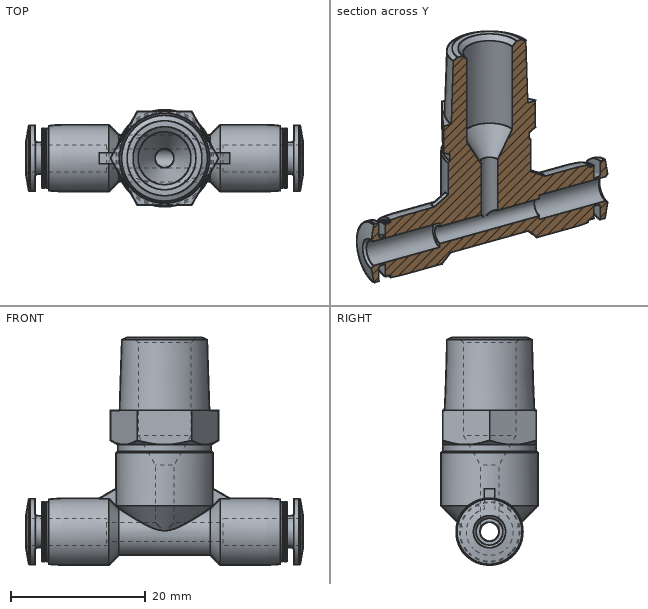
import cadquery as cq
import math


END_X = 20.695
FLANGE_FACE_EDGE_X = 20.27
FLANGE_RIM_X = 20.05
FLANGE_BACK_X = 19.3
RING_OUTER_X = 18.3
RING_GROOVE_X = 17.95
RING_GROOVE_WIDTH = 0.25
RING_CHAMFER = 0.12
SOCKET_FACE_X = 17.3
SOCKET_ROUND_X = 15.3
SOCKET_SHOULDER_X = 8.3
SOCKET_RADIUS = 10 / 2
SOCKET_FACE_RADIUS = 4.85
TUBE_RADIUS = 3.5
SHOULDER_LENGTH = SOCKET_RADIUS - TUBE_RADIUS
FLANGE_RADIUS = 9.9 / 2
FLANGE_EDGE_RADIUS = 4.85
RING_RADIUS = 9 / 2
SLEEVE_RADIUS = 4.8 / 2
SLEEVE_FILLET = 0.35

FLOW_RADIUS = 2.8 / 2
INLET_RADIUS = 4 / 2
INLET_MOUTH_RADIUS = 4.8 / 2
INLET_DEPTH = 12.0
BRANCH_BORE_RADIUS = 7.89 / 2
BRANCH_MOUTH_RADIUS = 4.7
BORE_FLOOR_Z = 10.0
BORE_FLOOR_ANGLE = 60

TOP_Z = 29.0
HEX_TOP_Z = 18.1
HEX_BOTTOM_Z = 13.0
BODY_TOP_Z = 12.0
BODY_BOTTOM_Z = 3.9
BODY_RADIUS = 14.5 / 2
COLLAR_RADIUS = 14 / 2
HEX_SIDES = 6
HEX_ACROSS_FLATS = 14.0
HEX_CHAMFER_ANGLE = 30
THREAD_TOP_RADIUS = 12.78 / 2
THREAD_TAPER = 1 / 16
THREAD_CHAMFER_RADIAL = 0.8
THREAD_CHAMFER_HEIGHT = 0.4

RIB_WIDTH = 1.6
RIB_TOP_Z = 6.4
RIB_FOOT_X = 9.7
RIB_ANGLE = 30


def make_run_half():
    """Half of the run, from the branch axis to the end of one release sleeve."""
    ring_step_radius = RING_RADIUS - RING_CHAMFER
    groove_inner_x = RING_GROOVE_X - RING_GROOVE_WIDTH
    shoulder_inner_x = SOCKET_SHOULDER_X - SHOULDER_LENGTH
    return (
        cq.Workplane("XY")
        .moveTo(0, 0)
        .lineTo(0, TUBE_RADIUS)
        .lineTo(shoulder_inner_x, TUBE_RADIUS)
        .lineTo(SOCKET_SHOULDER_X, SOCKET_RADIUS)
        .lineTo(SOCKET_ROUND_X, SOCKET_RADIUS)
        .tangentArcPoint((SOCKET_FACE_X, SOCKET_FACE_RADIUS), relative=False)
        .lineTo(SOCKET_FACE_X, RING_RADIUS)
        .lineTo(groove_inner_x - RING_CHAMFER, RING_RADIUS)
        .lineTo(groove_inner_x, ring_step_radius)
        .lineTo(RING_GROOVE_X, ring_step_radius)
        .lineTo(RING_GROOVE_X, RING_RADIUS)
        .lineTo(RING_OUTER_X - RING_CHAMFER, RING_RADIUS)
        .lineTo(RING_OUTER_X, ring_step_radius)
        .lineTo(RING_OUTER_X, SLEEVE_RADIUS)
        .lineTo(FLANGE_BACK_X - SLEEVE_FILLET, SLEEVE_RADIUS)
        .tangentArcPoint((FLANGE_BACK_X, SLEEVE_RADIUS + SLEEVE_FILLET), relative=False)
        .lineTo(FLANGE_BACK_X, FLANGE_RADIUS)
        .lineTo(FLANGE_RIM_X, FLANGE_RADIUS)
        .lineTo(FLANGE_FACE_EDGE_X, FLANGE_EDGE_RADIUS)
        .lineTo(END_X, INLET_MOUTH_RADIUS)
        .lineTo(END_X, 0)
        .close()
        .revolve(360, (0, 0, 0), (1, 0, 0))
    )


def make_inlet():
    """Chamfered tube inlet of one end."""
    mouth_depth = INLET_MOUTH_RADIUS - INLET_RADIUS
    floor_x = END_X - INLET_DEPTH
    return (
        cq.Workplane("XY")
        .moveTo(floor_x, 0)
        .lineTo(floor_x, INLET_RADIUS)
        .lineTo(END_X - mouth_depth, INLET_RADIUS)
        .lineTo(END_X, INLET_MOUTH_RADIUS)
        .lineTo(END_X, 0)
        .close()
        .revolve(360, (0, 0, 0), (1, 0, 0))
    )


def make_branch():
    """Branch body with 45 degree cone below, collar and tapered thread blank above."""
    body_chamfer = BODY_RADIUS - COLLAR_RADIUS
    thread_root_radius = THREAD_TOP_RADIUS + (TOP_Z - HEX_TOP_Z) * THREAD_TAPER / 2
    return (
        cq.Workplane("XZ")
        .moveTo(0, BODY_BOTTOM_Z - BODY_RADIUS)
        .lineTo(BODY_RADIUS, BODY_BOTTOM_Z)
        .lineTo(BODY_RADIUS, BODY_TOP_Z - body_chamfer)
        .lineTo(COLLAR_RADIUS, BODY_TOP_Z)
        .lineTo(COLLAR_RADIUS, HEX_TOP_Z)
        .lineTo(thread_root_radius, HEX_TOP_Z)
        .lineTo(THREAD_TOP_RADIUS, TOP_Z - THREAD_CHAMFER_HEIGHT)
        .lineTo(THREAD_TOP_RADIUS - THREAD_CHAMFER_RADIAL, TOP_Z)
        .lineTo(0, TOP_Z)
        .close()
        .revolve(360, (0, 0, 0), (0, 1, 0))
    )


def make_hexagon():
    """Wrench hexagon with corners on X and its lower corners cut by a cone."""
    corner_radius = HEX_ACROSS_FLATS / 2 / math.cos(math.pi / HEX_SIDES)
    height = HEX_TOP_Z - HEX_BOTTOM_Z
    rise = (corner_radius - COLLAR_RADIUS) * math.tan(math.radians(HEX_CHAMFER_ANGLE))
    hexagon = (
        cq.Workplane("XY")
        .workplane(offset=HEX_BOTTOM_Z)
        .polygon(HEX_SIDES, 2 * corner_radius)
        .extrude(height)
    )
    envelope = (
        cq.Workplane("XZ")
        .moveTo(0, HEX_BOTTOM_Z)
        .lineTo(COLLAR_RADIUS, HEX_BOTTOM_Z)
        .lineTo(corner_radius, HEX_BOTTOM_Z + rise)
        .lineTo(corner_radius, HEX_TOP_Z)
        .lineTo(0, HEX_TOP_Z)
        .close()
        .revolve(360, (0, 0, 0), (0, 1, 0))
    )
    return hexagon.intersect(envelope)


def make_rib():
    """Sloping rib from one socket up to the branch body."""
    slope_run = (RIB_TOP_Z - SOCKET_RADIUS) / math.tan(math.radians(RIB_ANGLE))
    return (
        cq.Workplane("XZ")
        .moveTo(0, 0)
        .lineTo(RIB_FOOT_X, 0)
        .lineTo(RIB_FOOT_X, SOCKET_RADIUS)
        .lineTo(RIB_FOOT_X - slope_run, RIB_TOP_Z)
        .lineTo(0, RIB_TOP_Z)
        .close()
        .extrude(RIB_WIDTH / 2, both=True)
    )


def make_branch_bore():
    """Branch bore with mouth chamfer, conical floor and flow hole down to the run axis."""
    mouth_depth = BRANCH_MOUTH_RADIUS - BRANCH_BORE_RADIUS
    half_angle = math.radians(BORE_FLOOR_ANGLE / 2)
    floor_depth = (BRANCH_BORE_RADIUS - FLOW_RADIUS) / math.tan(half_angle)
    return (
        cq.Workplane("XZ")
        .moveTo(0, 0)
        .lineTo(FLOW_RADIUS, 0)
        .lineTo(FLOW_RADIUS, BORE_FLOOR_Z)
        .lineTo(BRANCH_BORE_RADIUS, BORE_FLOOR_Z + floor_depth)
        .lineTo(BRANCH_BORE_RADIUS, TOP_Z - mouth_depth)
        .lineTo(BRANCH_MOUTH_RADIUS, TOP_Z)
        .lineTo(0, TOP_Z)
        .close()
        .revolve(360, (0, 0, 0), (0, 1, 0))
    )


def on_both_ends(feature):
    """The feature together with its mirror image across the branch axis."""
    return feature.union(feature.mirror("YZ"))


def make_flow_passage():
    """Flow hole along the whole run."""
    return (
        cq.Workplane("YZ")
        .workplane(offset=-END_X)
        .circle(FLOW_RADIUS)
        .extrude(2 * END_X)
    )



result = (
    on_both_ends(make_run_half())
    .union(make_branch())
    .union(make_hexagon())
    .union(on_both_ends(make_rib()))
    .cut(make_branch_bore())
    .cut(make_flow_passage())
    .cut(make_inlet())
    .cut(make_inlet().mirror("YZ"))
)